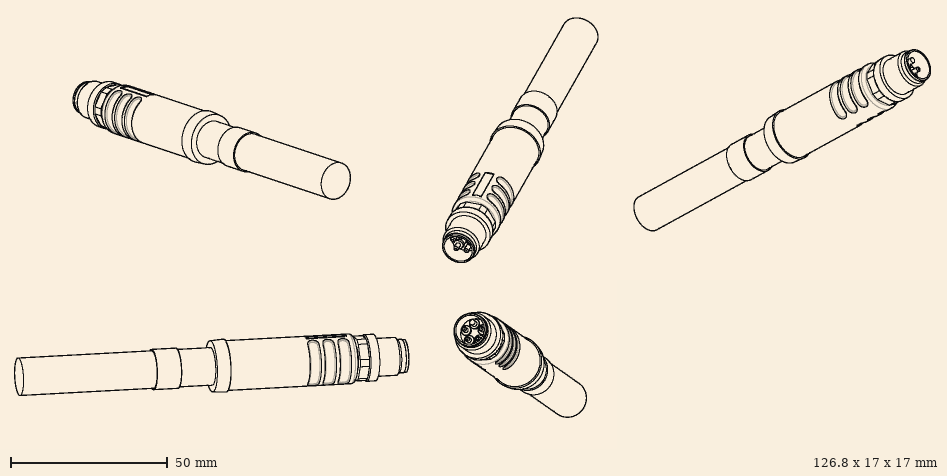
import cadquery as cq
import math

OVERALL_LENGTH = 126.8
TIP_END = 0.9
UNDERCUT_END = 2.4
NOSE_START = 3.2
COLLAR_START = 10.1
COLLAR_END = 13.4
NUT_END = 16.5
BARREL_START = 17.2
FLANGE_START = 59.2
FLANGE_END = 63.6
SLEEVE_START = 74.9
SLEEVE_END = 82.9

TIP_DIAMETER = 10.5
UNDERCUT_DIAMETER = 10.8
NOSE_DIAMETER = 12.2
COLLAR_DIAMETER = 15.0
NECK_DIAMETER = 9.8
BARREL_DIAMETER = 16.0
FLANGE_FRONT_DIAMETER = 17.0
FLANGE_REAR_DIAMETER = 16.4
CABLE_DIAMETER = 12.0
SLEEVE_DIAMETER = 12.9

COLLAR_CHAMFER = 0.4
BARREL_FILLET = 1.0

NUT_ACROSS_FLATS = 13.5
NUT_ACROSS_TRIMMED_CORNERS = 14.3

GRIP_START = 19.5
SLOT_COUNT = 3
SLOT_PITCH = 5.0
SLOT_WIDTH = 3.7
SLOT_END_OFFSET = 2.9
SLOT_DEPTH = 0.5
SLOT_FILLET = 0.4
PAD_WIDTH = 2.9
PAD_DEPTH = 0.4
PAD_LENGTH = 13.2

BORE_DIAMETER = 9.4
BORE_DEPTH = 6.3
PIN_COUNT = 5
PIN_DIAMETER = 1.5
PIN_CIRCLE_RADIUS = 2.9
PIN_START = 2.8
PIN_TIP_CHAMFER = 0.4
TOP_PIN_DIAMETER = 1.8
BOSS_DIAMETER = 3.2
BOSS_HEIGHT = 0.9


def cylinder(start, end, diameter):
    """Round bar on the X axis between two stations."""
    return cq.Workplane("YZ", origin=(start, 0, 0)).circle(diameter / 2).extrude(end - start)


def cone(start, end, start_diameter, end_diameter):
    """Tapered round section on the X axis."""
    return cq.Workplane(
        cq.Solid.makeCone(
            start_diameter / 2, end_diameter / 2, end - start,
            cq.Vector(start, 0, 0), cq.Vector(1, 0, 0),
        )
    )


def plug_nose():
    """Stepped nose with an undercut, ending in the chamfered collar."""
    nose = cylinder(0, TIP_END, TIP_DIAMETER)
    nose = nose.union(cylinder(TIP_END, UNDERCUT_END, UNDERCUT_DIAMETER))
    nose = nose.union(cone(UNDERCUT_END, NOSE_START, UNDERCUT_DIAMETER, NOSE_DIAMETER))
    nose = nose.union(cylinder(NOSE_START, COLLAR_START, NOSE_DIAMETER))
    collar = cylinder(COLLAR_START, COLLAR_END, COLLAR_DIAMETER).faces(">X").chamfer(COLLAR_CHAMFER)
    return nose.union(collar)


def hexagon(across_flats, turn):
    """Hexagonal bar over the nut length, turned about the X axis by an angle in degrees."""
    corner_diameter = across_flats / math.cos(math.pi / 6)
    plane = cq.Workplane("YZ", origin=(COLLAR_END, 0, 0))
    bar = plane.polygon(6, corner_diameter).extrude(NUT_END - COLLAR_END)
    return bar.rotate((0, 0, 0), (1, 0, 0), turn)


def lock_nut():
    """Hexagon with flats at top and bottom and trimmed corners."""
    return hexagon(NUT_ACROSS_FLATS, 0).intersect(hexagon(NUT_ACROSS_TRIMMED_CORNERS, 30))


def grip_slot(start, side):
    """Solid of one slot wrapping round a side of the barrel, with a rounded floor edge."""
    end_radius = SLOT_WIDTH / 2
    straight_offset = SLOT_END_OFFSET + end_radius
    outer_offset = FLANGE_FRONT_DIAMETER
    outline = (
        cq.Workplane("XY", origin=(start, 0, -FLANGE_FRONT_DIAMETER / 2))
        .moveTo(0, side * outer_offset)
        .lineTo(0, side * straight_offset)
        .threePointArc((end_radius, side * SLOT_END_OFFSET), (SLOT_WIDTH, side * straight_offset))
        .lineTo(SLOT_WIDTH, side * outer_offset)
        .close()
    )
    slot = outline.extrude(FLANGE_FRONT_DIAMETER)
    slot = slot.intersect(cylinder(BARREL_START, FLANGE_START, FLANGE_FRONT_DIAMETER))
    slot = slot.cut(cylinder(BARREL_START, FLANGE_START, BARREL_DIAMETER - 2 * SLOT_DEPTH))
    floor_selector = cq.selectors.NearestToPointSelector((start + end_radius, 0, 0))
    return slot.faces(floor_selector).edges().fillet(SLOT_FILLET)


def marker_pad():
    """Shallow flat-bottomed pocket along the top of the barrel."""
    middle = GRIP_START + PAD_LENGTH / 2
    floor_height = BARREL_DIAMETER / 2 - PAD_DEPTH
    pocket = cq.Workplane("XY", origin=(middle, 0, floor_height)).rect(PAD_LENGTH, PAD_WIDTH)
    return pocket.extrude(BARREL_DIAMETER / 2)


def barrel():
    """Grip barrel with its slots, marker pad and tapered rear flange."""
    body = cylinder(BARREL_START, FLANGE_START, BARREL_DIAMETER).faces("<X").edges().fillet(BARREL_FILLET)
    for index in range(SLOT_COUNT):
        for side in (-1, 1):
            body = body.cut(grip_slot(GRIP_START + index * SLOT_PITCH, side))
    body = body.cut(marker_pad())
    return body.union(cone(FLANGE_START, FLANGE_END, FLANGE_FRONT_DIAMETER, FLANGE_REAR_DIAMETER))


def contacts():
    """Ring of pins on round bosses; the top pin is thicker and blunt, the others have chamfered tips."""
    boss = cylinder(BORE_DEPTH - BOSS_HEIGHT, BORE_DEPTH, BOSS_DIAMETER)
    top_pin = cylinder(PIN_START, BORE_DEPTH, TOP_PIN_DIAMETER)
    pin = cylinder(PIN_START, BORE_DEPTH, PIN_DIAMETER).faces("<X").chamfer(PIN_TIP_CHAMFER)
    group = cq.Workplane()
    for index in range(PIN_COUNT):
        contact = boss.union(top_pin if index == 0 else pin)
        contact = contact.translate((0, 0, PIN_CIRCLE_RADIUS))
        group = group.add(contact.rotate((0, 0, 0), (1, 0, 0), index * 360 / PIN_COUNT))
    return group.combine()


neck = cylinder(NUT_END, BARREL_START, NECK_DIAMETER)
cable = cylinder(FLANGE_END, OVERALL_LENGTH, CABLE_DIAMETER)
sleeve = cylinder(SLEEVE_START, SLEEVE_END, SLEEVE_DIAMETER)

result = plug_nose().union(lock_nut()).union(neck).union(barrel()).union(cable).union(sleeve)
result = result.cut(cylinder(0, BORE_DEPTH, BORE_DIAMETER)).union(contacts())